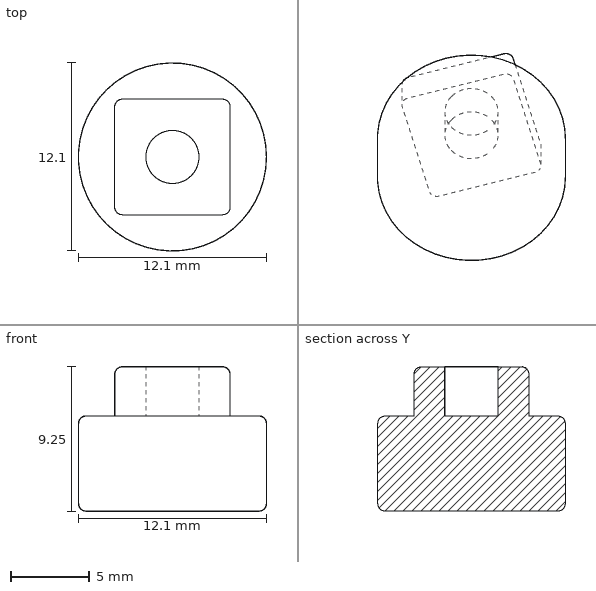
import cadquery as cq

base_diameter = 12.05
total_height = 9.25
boss_height = 3.15
boss_width = 7.4
hole_diameter = 3.4
edge_radius = 0.5

base_height = total_height - boss_height
hole_depth = boss_height


def make_base():
    """Round base with both rims rounded."""
    base = cq.Workplane("XY").circle(base_diameter / 2).extrude(base_height)
    return base.faces("<Z or >Z").edges().fillet(edge_radius)


def make_boss():
    """Square boss with rounded upright and top edges."""
    boss = (
        cq.Workplane("XY")
        .workplane(offset=base_height)
        .rect(boss_width, boss_width)
        .extrude(boss_height)
    )
    return boss.edges("|Z or >Z").fillet(edge_radius)


def make_hole():
    """Central blind hole, open at the top of the boss."""
    return (
        cq.Workplane("XY")
        .workplane(offset=total_height - hole_depth)
        .circle(hole_diameter / 2)
        .extrude(hole_depth)
    )


result = make_base().union(make_boss()).cut(make_hole())